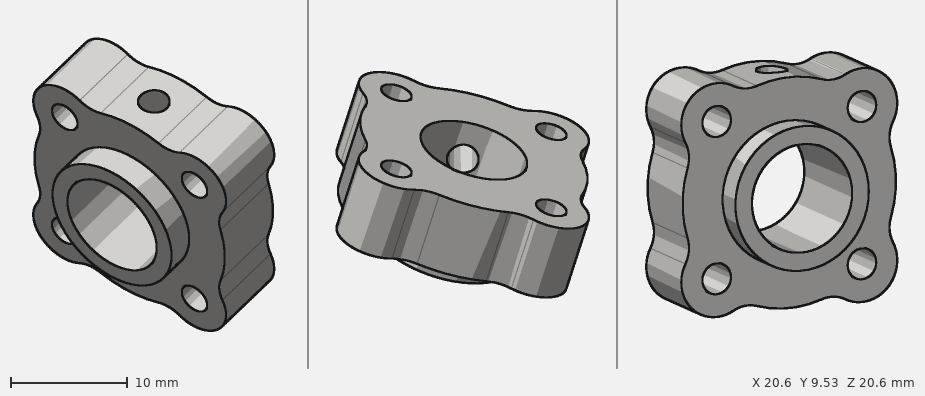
import cadquery as cq
import math

OUTER_WIDTH = 20.57
TOTAL_LENGTH = 9.525
HUB_LENGTH = 2.54
HUB_DIAMETER = 12.7
BORE_DIAMETER = 9.525

BODY_RADIUS = 10.16
BOLT_CIRCLE_DIAMETER = 19.558
BLEND_RADIUS = 2.9

SCREW_HOLE_DIAMETER = 2.72

flange_thickness = TOTAL_LENGTH - HUB_LENGTH
flange_front = -TOTAL_LENGTH / 2 + HUB_LENGTH
flange_back = TOTAL_LENGTH / 2
lobe_distance = BOLT_CIRCLE_DIAMETER / 2
lobe_offset = lobe_distance / math.sqrt(2)
lobe_radius = OUTER_WIDTH / 2 - lobe_offset


def polar(radius, angle):
    """Point at the given radius and angle from the bore axis."""
    return (radius * math.cos(angle), radius * math.sin(angle))


def point_toward(start, end, distance):
    """Point at the given distance from start on the line to end."""
    ratio = distance / math.dist(start, end)
    return (start[0] + ratio * (end[0] - start[0]), start[1] + ratio * (end[1] - start[1]))


def blend_arc(lobe_angle, side):
    """End on the body, middle and end on the lobe of the blend on one side (+1 or -1) of a lobe."""
    to_body = BODY_RADIUS + BLEND_RADIUS
    to_lobe = lobe_radius + BLEND_RADIUS
    cosine = (lobe_distance**2 + to_body**2 - to_lobe**2) / (2 * lobe_distance * to_body)
    blend_angle = lobe_angle + side * math.acos(cosine)
    center = polar(to_body, blend_angle)
    body_end = polar(BODY_RADIUS, blend_angle)
    lobe_end = point_toward(center, polar(lobe_distance, lobe_angle), BLEND_RADIUS)
    chord_middle = ((body_end[0] + lobe_end[0]) / 2, (body_end[1] + lobe_end[1]) / 2)
    return body_end, point_toward(center, chord_middle, BLEND_RADIUS), lobe_end


def plane_at(y):
    """Sketch plane at position y whose local axes are X and Z and whose normal is -Y."""
    return cq.Workplane("XZ", origin=(0, y, 0))


def make_flange():
    quarter = math.pi / 2
    lobe_angles = [quarter / 2 + i * quarter for i in range(4)]
    outline = plane_at(flange_back).moveTo(*blend_arc(lobe_angles[0], -1)[0])
    for angle in lobe_angles:
        _, entry_middle, lobe_start = blend_arc(angle, -1)
        body_start, exit_middle, lobe_end = blend_arc(angle, 1)
        next_body_end = blend_arc(angle + quarter, -1)[0]
        outline = outline.threePointArc(entry_middle, lobe_start)
        outline = outline.threePointArc(polar(lobe_distance + lobe_radius, angle), lobe_end)
        outline = outline.threePointArc(exit_middle, body_start)
        outline = outline.threePointArc(polar(BODY_RADIUS, angle + quarter / 2), next_body_end)
    return outline.close().extrude(flange_thickness)


def make_hub():
    return plane_at(flange_front).circle(HUB_DIAMETER / 2).extrude(HUB_LENGTH)


def make_bore():
    return plane_at(flange_back).circle(BORE_DIAMETER / 2).extrude(TOTAL_LENGTH)


def make_screw_holes():
    """Four holes through the flange, one at the centre of each lobe."""
    spacing = 2 * lobe_offset
    holes = plane_at(flange_back).rarray(spacing, spacing, 2, 2).circle(SCREW_HOLE_DIAMETER / 2)
    return holes.extrude(flange_thickness)


def make_set_screw_hole():
    """Radial hole from the +Z side into the bore, midway through the flange."""
    middle = (flange_front + flange_back) / 2
    hole = cq.Workplane("XY", origin=(0, middle, 0)).circle(SCREW_HOLE_DIAMETER / 2)
    return hole.extrude(OUTER_WIDTH / 2)


result = make_flange().union(make_hub())
result = result.cut(make_bore()).cut(make_screw_holes()).cut(make_set_screw_hole())